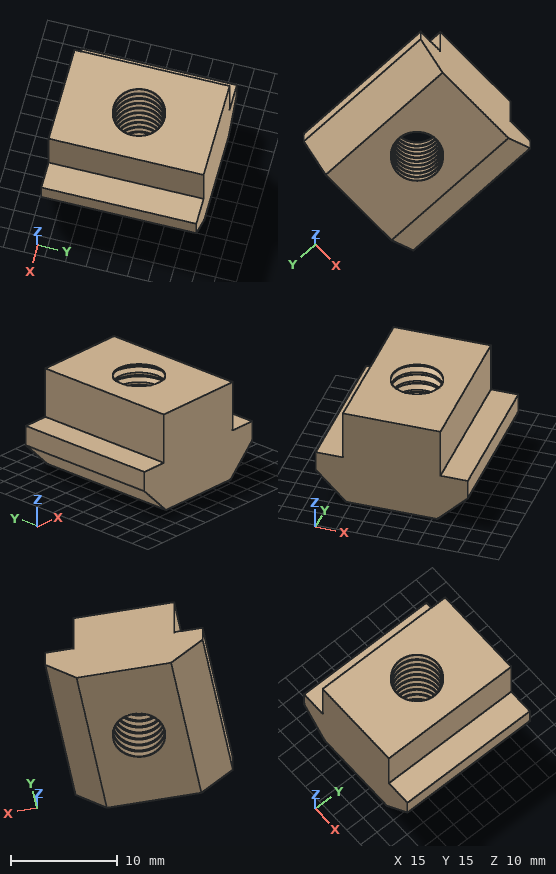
import cadquery as cq
import math

length = 15.0
base_width = 15.0
neck_width = 9.6
height = 10.0
base_height = 5.0
bevel = 3.0

pitch = 1.0
major_diameter = 6.0
minor_diameter = 4.917
flank_angle = 30.0
crest_width = pitch / 4
end_land = crest_width / 2

minor_radius = minor_diameter / 2
major_radius = major_diameter / 2
groove_mouth = pitch - crest_width
flank_rise = (major_radius - minor_radius) * math.tan(math.radians(flank_angle))
groove_count = round(height / pitch)


def make_body():
    """Inverted-T section with bevelled lower corners, centred on Y."""
    half_base = base_width / 2
    half_neck = neck_width / 2
    half_section = [
        (0, 0),
        (half_base - bevel, 0),
        (half_base, bevel),
        (half_base, base_height),
        (half_neck, base_height),
        (half_neck, height),
        (0, height),
    ]
    section = cq.Workplane("XZ").polyline(half_section).mirrorY()
    return section.extrude(length / 2, both=True)


def make_thread_core():
    """Tapped hole as one solid of revolution: a bore with V-flanked ring grooves."""
    outline = [(0, height), (minor_radius, height)]
    for index in range(groove_count):
        groove_top = height - end_land - index * pitch
        groove_bottom = groove_top - groove_mouth
        outline += [
            (minor_radius, groove_top),
            (major_radius, groove_top - flank_rise),
            (major_radius, groove_bottom + flank_rise),
            (minor_radius, groove_bottom),
        ]
    outline += [(minor_radius, 0), (0, 0)]
    return cq.Workplane("XZ").polyline(outline).close().revolve(360, (0, 0), (0, 1))


result = make_body().cut(make_thread_core())